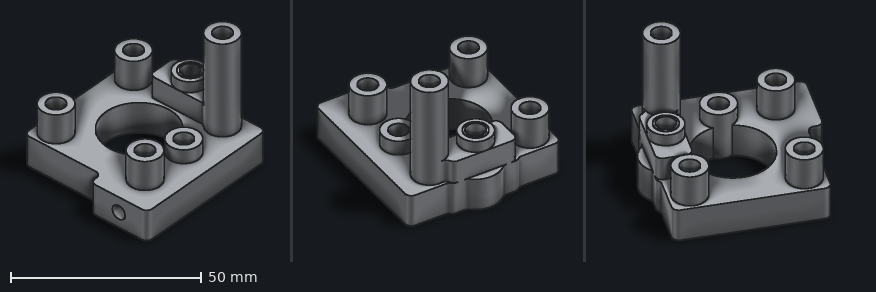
import cadquery as cq
import math

PLATE_LEFT = -21.5
PLATE_RIGHT = 25.5
PLATE_BACK = 21.5
PLATE_FRONT = -21.5
PLATE_THICKNESS = 10.0
BLEND_RADIUS = 2.0

BLOCK_LEFT = 5.5
BLOCK_FRONT = -26.0

BOLT_OFFSET = 15.5
BOSS_DIAMETER = 10.0
BOLT_HOLE_DIAMETER = 5.6
CORNER_BOSS_TOP = 19.5
SIDE_BOSS_TOP = 14.5
TOWER_TOP = 40.5

OPENING_DIAMETER = 23.0
OPENING_X = 0.0

PIVOT_X = 2.5
PIVOT_Y = 17.5
LUG_RADIUS = 7.5
ARM_LENGTH = 20.0
ARM_WIDTH = 10.0
ARM_TOP = 17.0
PIVOT_BOSS_TOP = 20.5
PIVOT_RIM_DIAMETER = 7.0
PIVOT_RIM_HEIGHT = 0.2
PIVOT_BORE_DIAMETER = 5.6
PIVOT_PILOT_DIAMETER = 3.0

INSERT_X = BOLT_OFFSET
INSERT_Z = PLATE_THICKNESS / 2
INSERT_DIAMETER = 4.4
INSERT_DEPTH = 5.0
INSERT_PILOT_DIAMETER = 3.2
INSERT_PILOT_DEPTH = 6.5

ARM_BACK = PIVOT_Y + ARM_WIDTH / 2
ARM_FRONT = PIVOT_Y - ARM_WIDTH / 2
ARM_LEFT = PIVOT_X - ARM_LENGTH / 2
ARM_RIGHT = PIVOT_X + ARM_LENGTH / 2
BOSS_RADIUS = BOSS_DIAMETER / 2
TOWER_CENTRE = (BOLT_OFFSET, BOLT_OFFSET)


def toward(start, end, distance):
    """Point at the given distance from start on the way to end."""
    fraction = distance / math.dist(start, end)
    return (
        start[0] + fraction * (end[0] - start[0]),
        start[1] + fraction * (end[1] - start[1]),
    )


def arc_to(sketch, start, end, centre):
    """Add the short arc from start to end about centre."""
    chord_middle = ((start[0] + end[0]) / 2, (start[1] + end[1]) / 2)
    middle = toward(centre, chord_middle, math.dist(centre, start))
    return sketch.threePointArc(middle, end)


def cylinder(x, y, diameter, bottom, top):
    """Upright cylinder between two heights."""
    return (
        cq.Workplane("XY", origin=(x, y, bottom))
        .circle(diameter / 2)
        .extrude(top - bottom)
    )


def make_plate():
    """Plate with its front block, all upright corners rounded."""
    return (
        cq.Workplane("XY")
        .moveTo(PLATE_LEFT, PLATE_BACK)
        .lineTo(PLATE_RIGHT, PLATE_BACK)
        .lineTo(PLATE_RIGHT, BLOCK_FRONT)
        .lineTo(BLOCK_LEFT, BLOCK_FRONT)
        .lineTo(BLOCK_LEFT, PLATE_FRONT)
        .lineTo(PLATE_LEFT, PLATE_FRONT)
        .close()
        .extrude(PLATE_THICKNESS)
        .edges("|Z")
        .fillet(BLEND_RADIUS)
    )


def make_lug():
    """Back lug blended into the plate edge: one half, mirrored about the pivot."""
    r = BLEND_RADIUS
    step = ARM_BACK - PLATE_BACK
    hollow = (ARM_RIGHT + math.sqrt(r**2 - (r - step) ** 2), PLATE_BACK + r)
    rise = hollow[1] - (ARM_BACK - r)
    corner = (hollow[0] - math.sqrt((2 * r) ** 2 - rise**2), ARM_BACK - r)
    pivot = (PIVOT_X, PIVOT_Y)
    neck_y = ARM_BACK + r
    neck = (PIVOT_X + math.sqrt((LUG_RADIUS + r) ** 2 - (neck_y - PIVOT_Y) ** 2), neck_y)

    edge_end = (hollow[0], PLATE_BACK)
    shoulder_mid = toward(hollow, corner, r)
    shoulder_end = (corner[0], ARM_BACK)
    neck_end = (neck[0], ARM_BACK)
    lug_start = toward(pivot, neck, LUG_RADIUS)
    lug_tip = (PIVOT_X, PIVOT_Y + LUG_RADIUS)

    outline = cq.Workplane("XY").moveTo(*pivot)
    outline = outline.lineTo(edge_end[0], PIVOT_Y).lineTo(*edge_end)
    outline = arc_to(outline, edge_end, shoulder_mid, hollow)
    outline = arc_to(outline, shoulder_mid, shoulder_end, corner)
    outline = outline.lineTo(*neck_end)
    outline = arc_to(outline, neck_end, lug_start, neck)
    outline = arc_to(outline, lug_start, lug_tip, pivot)
    half = outline.close().extrude(PLATE_THICKNESS)
    return half.union(half.mirror("YZ", (PIVOT_X, PIVOT_Y, 0)))


def make_arm():
    """Raised arm that carries the pivot boss and blends into the tower."""
    r = BLEND_RADIUS
    reach = BOSS_RADIUS + r
    square_corner = (ARM_RIGHT, ARM_BACK)
    span = math.dist(TOWER_CENTRE, square_corner)
    along = (span**2 + reach**2 - r**2) / (2 * span)
    aside = math.sqrt(reach**2 - along**2)
    foot = toward(TOWER_CENTRE, square_corner, along)
    back_hollow = (
        foot[0] + aside * (square_corner[1] - TOWER_CENTRE[1]) / span,
        foot[1] - aside * (square_corner[0] - TOWER_CENTRE[0]) / span,
    )
    rise = back_hollow[1] - (ARM_BACK - r)
    corner = (back_hollow[0] - math.sqrt((2 * r) ** 2 - rise**2), ARM_BACK - r)
    front_y = ARM_FRONT - r
    front_hollow = (BOLT_OFFSET - math.sqrt(reach**2 - (BOLT_OFFSET - front_y) ** 2), front_y)

    front_end = (front_hollow[0], ARM_FRONT)
    tower_front = toward(TOWER_CENTRE, front_hollow, BOSS_RADIUS)
    tower_back = toward(TOWER_CENTRE, back_hollow, BOSS_RADIUS)
    corner_mid = toward(back_hollow, corner, r)
    back_end = (corner[0], ARM_BACK)

    outline = cq.Workplane("XY", origin=(0, 0, PLATE_THICKNESS))
    outline = outline.moveTo(ARM_LEFT, ARM_FRONT).lineTo(*front_end)
    outline = arc_to(outline, front_end, tower_front, front_hollow)
    outline = outline.lineTo(*TOWER_CENTRE).lineTo(*tower_back)
    outline = arc_to(outline, tower_back, corner_mid, back_hollow)
    outline = arc_to(outline, corner_mid, back_end, corner)
    arm = outline.lineTo(ARM_LEFT, ARM_BACK).close().extrude(ARM_TOP - PLATE_THICKNESS)
    return arm.edges("|Z and <X").fillet(r)


def insert_hole():
    """Stepped horizontal hole that enters the front block along +Y."""
    face = cq.Workplane("XZ", origin=(INSERT_X, BLOCK_FRONT, INSERT_Z))
    wide = face.circle(INSERT_DIAMETER / 2).extrude(-INSERT_DEPTH)
    narrow = face.circle(INSERT_PILOT_DIAMETER / 2).extrude(-INSERT_PILOT_DEPTH)
    return wide.union(narrow)


bosses = [
    (-BOLT_OFFSET, -BOLT_OFFSET, CORNER_BOSS_TOP),
    (BOLT_OFFSET, -BOLT_OFFSET, CORNER_BOSS_TOP),
    (-BOLT_OFFSET, BOLT_OFFSET, CORNER_BOSS_TOP),
    (BOLT_OFFSET, BOLT_OFFSET, TOWER_TOP),
    (BOLT_OFFSET, 0.0, SIDE_BOSS_TOP),
]
pivot_rim_top = PIVOT_BOSS_TOP + PIVOT_RIM_HEIGHT

result = make_plate().union(make_lug())
result = result.cut(cylinder(OPENING_X, 0.0, OPENING_DIAMETER, 0.0, PLATE_THICKNESS))
result = result.union(make_arm())
result = result.union(cylinder(PIVOT_X, PIVOT_Y, BOSS_DIAMETER, PLATE_THICKNESS, PIVOT_BOSS_TOP))
result = result.union(cylinder(PIVOT_X, PIVOT_Y, PIVOT_RIM_DIAMETER, PLATE_THICKNESS, pivot_rim_top))

for x, y, top in bosses:
    result = result.union(cylinder(x, y, BOSS_DIAMETER, 0.0, top))
for x, y, top in bosses:
    result = result.cut(cylinder(x, y, BOLT_HOLE_DIAMETER, 0.0, top))

result = result.cut(cylinder(PIVOT_X, PIVOT_Y, PIVOT_PILOT_DIAMETER, 0.0, pivot_rim_top))
result = result.cut(cylinder(PIVOT_X, PIVOT_Y, PIVOT_BORE_DIAMETER, PLATE_THICKNESS, pivot_rim_top))
result = result.cut(insert_hole())